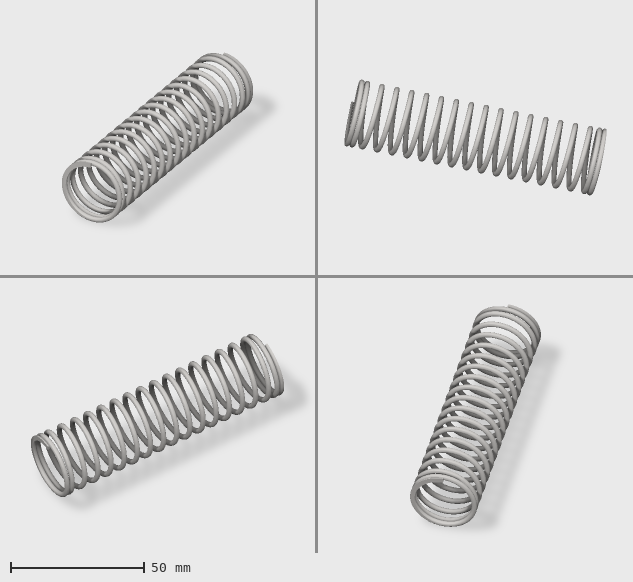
import cadquery as cq
import math

length = 95.1
outer_diameter = 25.7
wire_diameter = 2.0
total_turns = 19
closed_turns = 1.8
closed_gap = 0.04
blend_turns = 0.3
points_per_turn = 16

coil_radius = (outer_diameter - wire_diameter) / 2
closed_pitch = wire_diameter + closed_gap
active_turns = total_turns - 2 * closed_turns
active_pitch = (length - 2 * closed_turns * closed_pitch) / active_turns


def advance_from_end(turn):
    """Axial travel from the nearest end, with a smooth change of pitch."""
    past_blend_start = turn - (closed_turns - blend_turns / 2)
    extra_pitch = active_pitch - closed_pitch
    if past_blend_start <= 0:
        extra_travel = 0
    elif past_blend_start < blend_turns:
        extra_travel = extra_pitch * past_blend_start**2 / (2 * blend_turns)
    else:
        extra_travel = extra_pitch * (turn - closed_turns)
    return closed_pitch * turn + extra_travel


def coil_point(turn):
    """Point on the wire centreline, starting at the top of the +Y end."""
    if turn <= total_turns / 2:
        y = length / 2 - advance_from_end(turn)
    else:
        y = advance_from_end(total_turns - turn) - length / 2
    angle = 2 * math.pi * turn
    return (coil_radius * math.sin(angle), y, coil_radius * math.cos(angle))


def wound_wire():
    """Round wire swept along the coil, ending on the end planes."""
    steps = total_turns * points_per_turn
    points = [coil_point(step / points_per_turn) for step in range(steps + 1)]
    centreline = cq.Workplane("XY").spline(points)
    start_plane = cq.Plane(
        origin=points[0],
        xDir=(0, 0, 1),
        normal=(2 * math.pi * coil_radius, -closed_pitch, 0),
    )
    section = cq.Workplane(start_plane).circle(wire_diameter / 2)
    return section.sweep(centreline, isFrenet=True)


grinding_envelope = cq.Workplane("XY").box(2 * outer_diameter, length, 2 * outer_diameter)
result = wound_wire().intersect(grinding_envelope)